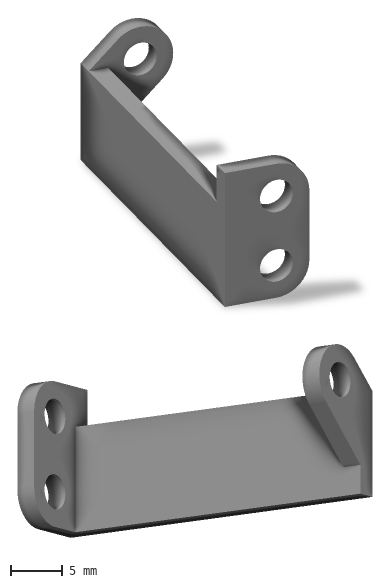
import cadquery as cq
import math

length = 36.37
depth = 9.0
height = 14.5

wall_thickness = 2.07
wall_height = 10.5

lug_thickness = 2.05
lug_radius = 3.5
hole_diameter = 3.5
eye_y = depth - lug_radius
left_eye_z = 10.85
left_lug_root_z = 2.87


def tangent_point(y, z, side):
    """Point where a line from (y, z) touches the left lug's round end.

    side is 1 for the touch point left of the line to the eye, -1 for right.
    """
    to_eye_y = eye_y - y
    to_eye_z = left_eye_z - z
    distance = math.hypot(to_eye_y, to_eye_z)
    swing = side * math.asin(lug_radius / distance)
    heading = math.atan2(to_eye_z, to_eye_y) + swing
    reach = math.sqrt(distance**2 - lug_radius**2)
    return y + reach * math.cos(heading), z + reach * math.sin(heading)


def drill(lug, start_x, z):
    """Cut a hole along X through one lug."""
    hole = (
        cq.Workplane("YZ", origin=(start_x, eye_y, z))
        .circle(hole_diameter / 2)
        .extrude(lug_thickness)
    )
    return lug.cut(hole)


def make_wall():
    return cq.Workplane("XY").box(length, wall_thickness, wall_height, centered=False)


def make_left_lug():
    """Slanted lug whose edges run tangent into a round eye."""
    outline = (
        cq.Workplane("YZ")
        .polyline([(0, wall_height), (0, 0), (wall_thickness, 0), (wall_thickness, left_lug_root_z)])
        .lineTo(*tangent_point(wall_thickness, left_lug_root_z, -1))
        .threePointArc((depth, left_eye_z), tangent_point(0, wall_height, 1))
        .close()
    )
    return drill(outline.extrude(lug_thickness), 0, left_eye_z)


def make_right_lug():
    """Full-height lug with two rounded back corners and two holes."""
    start_x = length - lug_thickness
    lug = (
        cq.Workplane("XY", origin=(start_x, 0, 0))
        .box(lug_thickness, depth, height, centered=False)
        .edges("|X and >Y")
        .fillet(lug_radius)
    )
    for z in (lug_radius, height - lug_radius):
        lug = drill(lug, start_x, z)
    return lug


result = make_wall().union(make_left_lug()).union(make_right_lug())